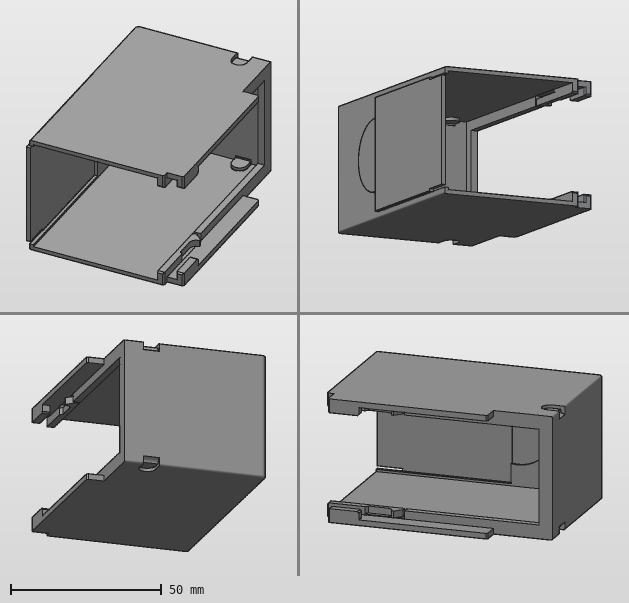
import cadquery as cq
import math

length_y = 79.5
height_z = 43.0
total_x = 57.2
front_y = -length_y / 2
back_y = length_y / 2
half_z = height_z / 2
overlap = 0.8

wall = 1.4
shell_left_x = 1.2
shell_right_x = 51.1
inner_left_x = shell_left_x + wall
inner_half_z = half_z - wall
corner_radius = 1.4
edge_radius = 0.6

lip_height = 4.85
lip_thickness = 2.5
lip_inner_x = shell_right_x - lip_thickness
lip_half_z = half_z - lip_height
end_bevel = 0.55

panel_half_z = 19.3
panel_end_y = 9.3
panel_floor_x = 1.5
panel_bevel = 0.2
panel_notch_length = 8.9
panel_notch_height = 0.9
disc_radius = 12.6
disc_y = 10.2
disc_outer_x = 0.5
disc_floor_x = 1.75
disc_bevel = 0.2

recess_x = 41.6
recess_width = 5.65
recess_length = 7.15
recess_depth = 1.1
recess_drop_radius = 1.7
boss_thickness = wall
back_block_depth = 3.1

flange_front_y = -37.4
flange_back_y = 18.9
flange_thickness = 2.0
foot_back_y = -26.4
foot_width = 2.7
foot_inner_x = total_x - foot_width

arm_root_y = foot_back_y
arm_tip_y = -13.35
arm_gap = 0.9
arm_thickness = 1.5
arm_base_depth = 2.5
arm_outer_x = lip_inner_x + arm_thickness
arm_slot_depth = 1.3
barb_radius = 2.5
barb_land = 0.7


def box(x_range, y_range, z_range):
    """Axis-aligned box given by its limits."""
    (x0, x1), (y0, y1), (z0, z1) = x_range, y_range, z_range
    return cq.Workplane("XY").box(x1 - x0, y1 - y0, z1 - z0, centered=False).translate((x0, y0, z0))


def both_sides(solid):
    """The solid together with its mirror image in the XY plane."""
    return solid.union(solid.mirror("XY"))


def make_shell():
    shell = box((shell_left_x, shell_right_x), (front_y, back_y), (-half_z, half_z))
    shell = shell.edges("<X and >Y").fillet(corner_radius)
    for side in (">Z", "<Z"):
        shell = shell.faces(side).edges("not(>X or <Y)").fillet(edge_radius)
    shell = shell.faces("<Y").edges(">X").chamfer(end_bevel)
    cavity = box(
        (inner_left_x, lip_inner_x),
        (front_y - overlap, back_y - wall),
        (-inner_half_z, inner_half_z),
    )
    window = box(
        (lip_inner_x - overlap, shell_right_x + overlap),
        (front_y - overlap, back_y - lip_height),
        (-lip_half_z, lip_half_z),
    )
    shell = shell.cut(cavity).cut(window)
    lip_ends = cq.selectors.BoxSelector(
        (lip_inner_x - overlap, front_y - overlap, -lip_half_z - overlap),
        (shell_right_x + overlap, front_y + overlap, lip_half_z + overlap),
    )
    return shell.edges(lip_ends).edges("|X").chamfer(end_bevel)


def disc(x0, x1):
    """Disc on the left wall between two X positions."""
    return cq.Workplane("YZ", origin=(x0, disc_y, 0)).circle(disc_radius).extrude(x1 - x0)


def add_left_panel(body):
    panel = box((0, inner_left_x), (front_y, panel_end_y), (-panel_half_z, panel_half_z))
    panel = panel.faces("<X").edges("not <Y").chamfer(panel_bevel)
    raised_disc = disc(disc_outer_x, inner_left_x).faces("<X").chamfer(disc_bevel)
    body = body.union(panel).union(raised_disc)
    panel_recess = box(
        (panel_floor_x, inner_left_x + overlap),
        (front_y - overlap, panel_end_y - wall),
        (-panel_half_z, panel_half_z),
    )
    notch = box(
        (-overlap, panel_floor_x),
        (front_y - overlap, front_y + panel_notch_length),
        (panel_half_z - panel_notch_height, panel_half_z),
    )
    body = body.cut(panel_recess).cut(disc(disc_floor_x, inner_left_x + overlap))
    return body.cut(both_sides(notch))


def recess_prism(bottom_z, height):
    """U-shaped prism open towards the back."""
    half_width = recess_width / 2
    round_y = back_y - recess_length + half_width
    return (
        cq.Workplane("XY", origin=(0, 0, bottom_z))
        .moveTo(recess_x - half_width, back_y)
        .lineTo(recess_x - half_width, round_y)
        .threePointArc((recess_x, round_y - half_width), (recess_x + half_width, round_y))
        .lineTo(recess_x + half_width, back_y)
        .close()
        .extrude(height)
    )


def add_finger_recesses(body):
    floor_z = half_z - recess_depth
    left_x = recess_x - recess_width / 2
    boss = recess_prism(floor_z - boss_thickness, boss_thickness)
    back_block = box(
        (left_x, left_x + recess_width),
        (back_y - recess_drop_radius, back_y),
        (half_z - back_block_depth, floor_z),
    )
    quarter_round = (
        cq.Workplane("YZ", origin=(left_x, back_y, floor_z))
        .circle(recess_drop_radius)
        .extrude(recess_width)
    )
    pocket = recess_prism(floor_z, recess_depth + overlap).union(quarter_round)
    return body.union(both_sides(boss.union(back_block))).cut(both_sides(pocket))


def make_hook():
    """Hook flange at the top with a foot at its front end."""
    flange = box(
        (shell_right_x - end_bevel, total_x),
        (flange_front_y, flange_back_y),
        (half_z - flange_thickness, half_z),
    )
    flange = flange.edges("|Z and >X").chamfer(end_bevel)
    foot = box((foot_inner_x, total_x), (flange_front_y, foot_back_y), (lip_half_z, half_z))
    foot = foot.edges("|Z and <Y").chamfer(end_bevel)
    foot = foot.faces("<Z").edges("<Y or >Y").chamfer(end_bevel)
    return flange.union(foot)


def cut_snap_arm_space(body):
    """Clear the lip where the arm sits, leaving the flange and a thin outer wall."""
    space = box(
        (lip_inner_x, shell_right_x),
        (arm_root_y, arm_tip_y + arm_gap),
        (lip_half_z - overlap, half_z - arm_slot_depth),
    )
    return body.cut(both_sides(space))


def make_snap_arm():
    """Springy arm with a barb at its tip, rooted in the front part of the lip."""
    root_flare = shell_right_x - arm_outer_x
    barb_x = arm_outer_x + barb_radius
    land_back_y = arm_tip_y - barb_radius
    land_front_y = land_back_y - barb_land
    barb_start_y = land_front_y - barb_radius
    arc_offset = barb_radius * math.sqrt(0.5)
    return (
        cq.Workplane("XY", origin=(0, 0, lip_half_z))
        .moveTo(lip_inner_x, arm_root_y - overlap)
        .lineTo(lip_inner_x, arm_tip_y)
        .lineTo(arm_outer_x, arm_tip_y)
        .lineTo(barb_x, land_back_y)
        .lineTo(barb_x, land_front_y)
        .threePointArc((barb_x - arc_offset, barb_start_y + arc_offset), (arm_outer_x, barb_start_y))
        .lineTo(arm_outer_x, arm_root_y + root_flare)
        .lineTo(shell_right_x, arm_root_y)
        .lineTo(shell_right_x, arm_root_y - overlap)
        .close()
        .extrude(lip_height - arm_base_depth)
    )


body = make_shell()
body = add_left_panel(body)
body = add_finger_recesses(body)
body = body.union(both_sides(make_hook()))
body = cut_snap_arm_space(body)
result = body.union(both_sides(make_snap_arm()))